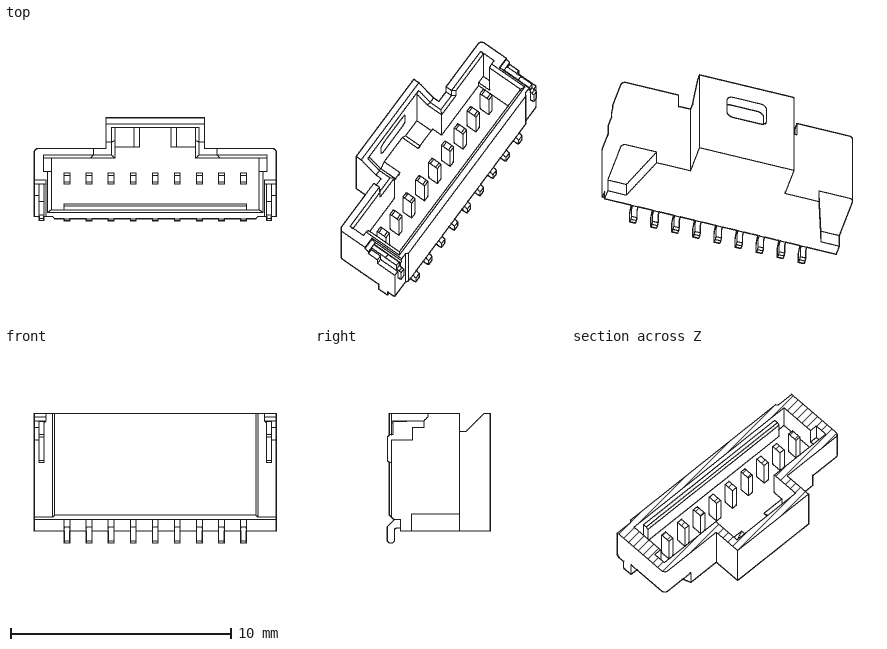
import cadquery as cq


length = 11.0
height = 5.35
half_length = length / 2
end_front = 0.2
panel_step = 0.1
panel_front = end_front - panel_step
panel_half = 4.56
back = 3.3
back_corner_radius = 0.2

foot_height = 0.53
foot_front = 0.6
foot_back = 1.1
wing_underside = 0.78
wing_inset_front = 0.88
wing_inset_back = 1.65

tower_back = 4.7
tower_half = 2.24
tower_inner_half = 1.84
tower_inner_back = 4.24
tower_top_width = 0.29
notch_half = 2.8
notch_floor = 4.52
window_half = 0.94
window_bottom = 2.82
window_top = 4.28
window_radius = 0.3

floor = 1.0
cavity_half = 4.72
cavity_front = 0.51
cavity_back = 2.85
rim_chamfer = 0.14
lead_in_height = 0.16
lead_in_side = 0.16
lead_in_front = 0.12
key_front = 2.24
key_half = 5.08
key_floor = 1.5
rib_half = 4.14
rib_back = 0.78
rib_top = 2.0
rib_chamfer = 0.1
sump_front = 3.35
sump_depth = 0.44
sump_island_top_half = 0.7
sump_island_base_half = 0.96

pin_count = 9
pin_pitch = 1.0
pin_width = 0.26
pin_front = 1.67
pin_back = 2.17
pin_top = 3.5
pin_chamfer = 0.1
pin_chamfer_height = 0.04
tail_thickness = 0.34
tail_bend = 0.34
tail_underside = 0.13
tail_inner_bend = 0.1
tail_bottom = -0.55
tail_chamfer = 0.1

clip_outer = 5.27
clip_inner = 5.06
clip_front = 0.01
clip_chamfer = 0.1
clip_arm_top = 4.38
clip_arm_bottom = 3.1
clip_plate_front = 0.26
clip_top = 5.0
clip_top_step = 0.03
clip_top_step_y = 0.88
clip_pocket_wall = 4.96
pocket_back = 1.86
pocket_slope_top = 5.18
pocket_step_back = 1.67
pocket_upper_ledge = 4.71
pocket_lower_back = 1.17
pocket_lower_ledge = 4.12


def box(x_half, y0, y1, z0, z1):
    """Box centred on X between the given Y and Z limits."""
    size = (2 * x_half, y1 - y0, z1 - z0)
    return cq.Workplane("XY").box(*size, centered=(True, False, False)).translate((0, y0, z0))


def side_profile(points, x0, x1):
    """Outline of (y, z) points extruded from x0 to x1."""
    return cq.Workplane("YZ").workplane(offset=x0).polyline(points).close().extrude(x1 - x0)


def both_ends(solid):
    """The solid and its mirror image across the middle of the length."""
    return solid.union(solid.mirror("YZ"))


def make_shell():
    """Outer block with raised front panel, undercut front, raised wings and latch tower."""
    panel_root = panel_half + panel_step
    plan = [
        (-half_length, end_front), (-panel_root, end_front), (-panel_half, panel_front),
        (panel_half, panel_front), (panel_root, end_front), (half_length, end_front),
        (half_length, back), (-half_length, back),
    ]
    shell = cq.Workplane("XY").polyline(plan).close().extrude(height)
    shell = shell.edges("|Z and >Y").fillet(back_corner_radius)

    bevel = 2 * panel_step
    undercut = [
        (0, 0), (foot_front, 0), (foot_front, foot_height), (panel_front + bevel, foot_height),
        (panel_front, foot_height + bevel), (0, foot_height + bevel),
    ]
    shell = shell.cut(side_profile(undercut, -half_length, half_length))

    wing_cut = (
        cq.Workplane("XY")
        .polyline([
            (half_length, foot_back), (half_length - wing_inset_front, foot_back),
            (half_length - wing_inset_back, back), (half_length, back),
        ])
        .close()
        .extrude(wing_underside)
    )
    shell = shell.cut(both_ends(wing_cut))
    return shell.union(box(tower_half, cavity_back, tower_back, 0, height))


def cut_cavity(body):
    """Main cavity, key slots, tower cavity, and the chamfered rim along the notched back wall."""
    body = body.cut(box(cavity_half, cavity_front, cavity_back, floor, height))
    body = body.cut(box(key_half, key_front, cavity_back, key_floor, height))
    body = body.cut(box(tower_inner_half, cavity_front, tower_inner_back, floor, height))

    slope_top = tower_back - tower_top_width
    slope_foot = slope_top - (height - notch_floor)
    notch = [
        (key_front, notch_floor), (slope_foot, notch_floor),
        (slope_top, height), (key_front, height),
    ]
    body = body.cut(side_profile(notch, -notch_half, notch_half))

    margin = 0.01
    back_rim = cq.selectors.BoxSelector(
        (-key_half - margin, cavity_back - margin, notch_floor - margin),
        (key_half + margin, cavity_back + margin, height + margin),
    )
    tower_rim = [
        cq.selectors.BoxSelector(
            (side * tower_inner_half - margin, cavity_back, notch_floor - margin),
            (side * tower_inner_half + margin, tower_inner_back, height + margin),
        )
        for side in (-1, 1)
    ]
    return body.edges(back_rim + tower_rim[0] + tower_rim[1]).chamfer(rim_chamfer)


def cut_lead_in(body):
    """Tapered mouth along the front wall and both end walls of the cavity."""
    bottom_depth = key_front - cavity_front
    top_depth = bottom_depth + lead_in_front
    mouth = (
        cq.Workplane("XY", origin=(0, key_front - bottom_depth / 2, height - lead_in_height))
        .rect(2 * cavity_half, bottom_depth)
        .workplane(offset=lead_in_height)
        .center(0, -lead_in_front / 2)
        .rect(2 * (cavity_half + lead_in_side), top_depth)
        .loft(ruled=True)
    )
    return body.cut(mouth)


def cut_window(body):
    """Rounded latch window through the tower's back wall."""
    window = box(window_half, tower_inner_back, tower_back, window_bottom, window_top)
    return body.cut(window.edges("|Y").fillet(window_radius))


def cut_sumps(body):
    """Two pockets in the tower floor, leaving an island with sloping flanks."""
    sump = (
        cq.Workplane("XZ", origin=(0, tower_inner_back, 0))
        .polyline([
            (tower_inner_half, floor), (tower_inner_half, floor - sump_depth),
            (sump_island_base_half, floor - sump_depth), (sump_island_top_half, floor),
        ])
        .close()
        .extrude(tower_inner_back - sump_front)
    )
    return body.cut(both_ends(sump))


def make_rib():
    """Low rib along the front wall inside the cavity."""
    rib = box(rib_half, cavity_front, rib_back, floor, rib_top)
    return rib.edges(">Y and >Z").chamfer(rib_chamfer)


def make_contact():
    """Upright pin joined under the floor to a bent solder tail."""
    pin = [
        (pin_front, tail_underside), (pin_back, tail_underside),
        (pin_back, pin_top - pin_chamfer_height), (pin_back - pin_chamfer, pin_top),
        (pin_front + pin_chamfer, pin_top), (pin_front, pin_top - pin_chamfer_height),
    ]
    tail = (
        cq.Workplane("YZ")
        .moveTo(pin_front, foot_height)
        .lineTo(tail_bend, foot_height)
        .lineTo(0, foot_height - tail_bend)
        .lineTo(0, tail_bottom + tail_chamfer)
        .lineTo(tail_chamfer, tail_bottom)
        .lineTo(tail_thickness - tail_chamfer, tail_bottom)
        .lineTo(tail_thickness, tail_bottom + tail_chamfer)
        .lineTo(tail_thickness, tail_underside - tail_inner_bend)
        .radiusArc((tail_thickness + tail_inner_bend, tail_underside), tail_inner_bend)
        .lineTo(pin_front, tail_underside)
        .close()
        .extrude(pin_width)
    )
    return side_profile(pin, 0, pin_width).union(tail).translate((-pin_width / 2, 0, 0))


def cut_clip_pockets(body):
    """Stepped pockets in the end walls, narrowing to the clip's inner face."""
    outline = [
        (0, height), (pocket_back, height), (pocket_back, pocket_slope_top),
        (pocket_step_back, clip_top), (pocket_step_back, pocket_upper_ledge),
        (pocket_lower_back, pocket_upper_ledge), (pocket_lower_back, pocket_lower_ledge),
        (0, pocket_lower_ledge),
    ]
    bevel = clip_inner - clip_pocket_wall
    section = (
        cq.Workplane("XZ")
        .polyline([
            (half_length, height), (clip_pocket_wall, height), (clip_pocket_wall, clip_top),
            (clip_inner, clip_top - bevel), (clip_inner, pocket_lower_ledge),
            (half_length, pocket_lower_ledge),
        ])
        .close()
        .extrude(-pocket_back)
    )
    pocket = side_profile(outline, clip_pocket_wall, half_length).intersect(section)
    return body.cut(both_ends(pocket))


def make_clips():
    """Flat plates seated in the pockets, each with an arm standing out in front."""
    outline = [
        (pocket_step_back, clip_top), (clip_top_step_y, clip_top),
        (clip_top_step_y, clip_top - clip_top_step), (clip_plate_front, clip_top - clip_top_step),
        (clip_plate_front, clip_arm_top), (clip_front + clip_chamfer, clip_arm_top),
        (clip_front, clip_arm_top - clip_chamfer), (clip_front, clip_arm_bottom + clip_chamfer),
        (clip_front + clip_chamfer, clip_arm_bottom), (clip_plate_front, clip_arm_bottom),
        (clip_plate_front, pocket_lower_ledge), (pocket_lower_back, pocket_lower_ledge),
        (pocket_lower_back, pocket_upper_ledge), (pocket_step_back, pocket_upper_ledge),
    ]
    return both_ends(side_profile(outline, clip_inner, clip_outer))


housing = cut_cavity(make_shell())
housing = cut_lead_in(housing)
housing = cut_window(housing)
housing = cut_sumps(housing)
housing = housing.union(make_rib())
housing = cut_clip_pockets(housing)

result = housing.union(make_clips())
contact = make_contact()
for index in range(pin_count):
    offset = (index - (pin_count - 1) / 2) * pin_pitch
    result = result.union(contact.translate((offset, 0, 0)))